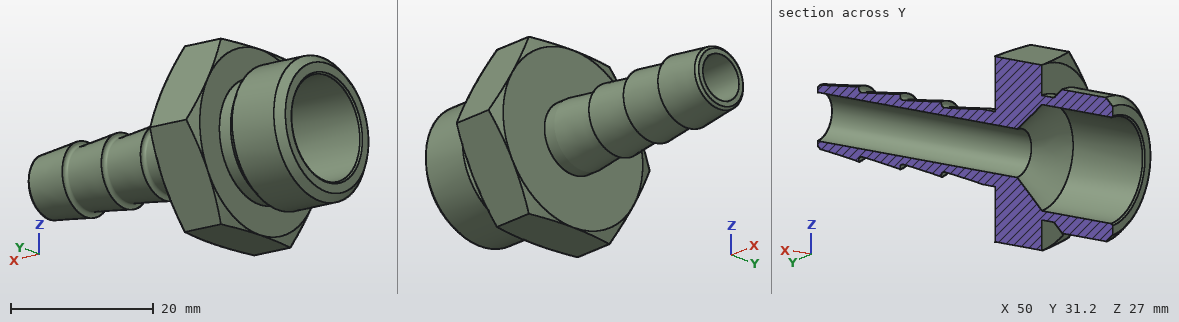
import cadquery as cq
import math

total_length = 50.0

thread_radius = 10.5
thread_chamfer = 1.15
thread_end = 8.6
neck_radius = 9.1
neck_start = 10.0

hex_start = 12.0
hex_end = 20.0
hex_flats = 27.0
hex_corners = hex_flats / math.cos(math.pi / 6)
hex_chamfer_angle = math.radians(20)

barb_count = 3
barb_pitch = 7.0
barb_radius = 5.5
root_radius = 4.7
root_fillet = 0.45
collar_end = 22.0
tip_chamfer = 0.4

hole_radius = 3.5
bore_radius = 7.7
bore_chamfer = 0.25
bore_depth = hex_start
bore_cone_angle = math.radians(45)


def turn(profile):
    """Revolve a closed (x, radius) profile about the X axis."""
    return cq.Workplane("XY").polyline(profile).close().revolve(360, (0, 0, 0), (1, 0, 0))


def threaded_end():
    return turn([
        (0, 0),
        (0, thread_radius - thread_chamfer),
        (thread_chamfer, thread_radius),
        (thread_end, thread_radius),
        (neck_start, neck_radius),
        (hex_start, neck_radius),
        (hex_start, 0),
    ])


def hexagon():
    width = hex_end - hex_start
    prism = (
        cq.Workplane("YZ", origin=(hex_start, 0, 0))
        .polygon(6, hex_corners)
        .extrude(width)
    )
    flat_radius = hex_flats / 2
    corner_radius = hex_corners / 2
    bevel = (corner_radius - flat_radius) * math.tan(hex_chamfer_angle)
    envelope = turn([
        (hex_start, 0),
        (hex_start, flat_radius),
        (hex_start + bevel, corner_radius),
        (hex_end - bevel, corner_radius),
        (hex_end, flat_radius),
        (hex_end, 0),
    ])
    return prism.intersect(envelope)


def hose_tail():
    outline = (
        cq.Workplane("XY")
        .moveTo(hex_end, 0)
        .lineTo(hex_end, barb_radius)
        .lineTo(collar_end, barb_radius)
    )
    fillet_offset = root_fillet * math.sqrt(0.5)
    fillet_center_radius = root_radius + root_fillet
    for index in range(barb_count):
        crest = total_length - (barb_count - index) * barb_pitch
        fillet_start = crest - root_fillet
        outline = (
            outline.lineTo(fillet_start, root_radius)
            .threePointArc(
                (fillet_start + fillet_offset, fillet_center_radius - fillet_offset),
                (crest, fillet_center_radius),
            )
            .lineTo(crest, barb_radius)
        )
    return (
        outline.lineTo(total_length - tip_chamfer, root_radius)
        .lineTo(total_length, root_radius - tip_chamfer)
        .lineTo(total_length, 0)
        .close()
        .revolve(360, (0, 0, 0), (1, 0, 0))
    )


def bore():
    cone_length = (bore_radius - hole_radius) / math.tan(bore_cone_angle)
    return turn([
        (0, 0),
        (0, bore_radius + bore_chamfer),
        (bore_chamfer, bore_radius),
        (bore_depth, bore_radius),
        (bore_depth + cone_length, hole_radius),
        (total_length, hole_radius),
        (total_length, 0),
    ])


result = threaded_end().union(hexagon()).union(hose_tail()).cut(bore())